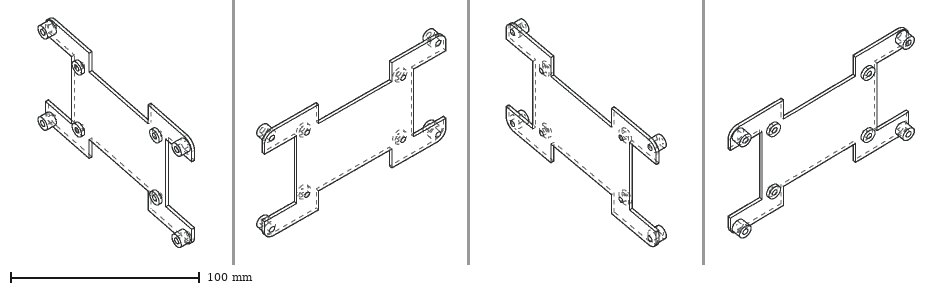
import cadquery as cq

plate_length = 124.0
plate_height = 78.0
plate_thickness = 2.0
corner_radius = 6.5
body_length = 80.0
notch_opening = 50.0

total_depth = 8.0
boss_diameter = 8.0
tall_boss_height = total_depth - plate_thickness
tall_boss_spacing = (113.6, 67.6)
tall_hole_diameter = 3.5
low_boss_height = 2.0
low_boss_spacing = (65.7, 46.0)
low_hole_diameter = 3.2


def make_plate():
    """Rounded plate with a rectangular notch in the middle of each edge."""
    blank = (
        cq.Workplane("XZ")
        .rect(plate_length, plate_height)
        .extrude(-plate_thickness)
        .edges("|Y")
        .fillet(corner_radius)
    )
    body = cq.Workplane("XZ").rect(body_length, notch_opening).extrude(-plate_thickness)
    side_notches = cq.Workplane("XZ").rect(plate_length, notch_opening).extrude(-plate_thickness)
    end_notches = cq.Workplane("XZ").rect(notch_opening, plate_height).extrude(-plate_thickness)
    return blank.cut(side_notches).cut(end_notches).union(body)


def add_bosses(part, spacing, height, hole_diameter):
    """Add four bosses to the front face, each with a hole through the plate."""
    centers = cq.Workplane("XZ").rect(*spacing, forConstruction=True).vertices()
    bosses = centers.circle(boss_diameter / 2).extrude(height)
    holes = (
        cq.Workplane("XZ", origin=(0, plate_thickness, 0))
        .rect(*spacing, forConstruction=True)
        .vertices()
        .circle(hole_diameter / 2)
        .extrude(plate_thickness + height)
    )
    return part.union(bosses).cut(holes)


result = make_plate()
result = add_bosses(result, tall_boss_spacing, tall_boss_height, tall_hole_diameter)
result = add_bosses(result, low_boss_spacing, low_boss_height, low_hole_diameter)